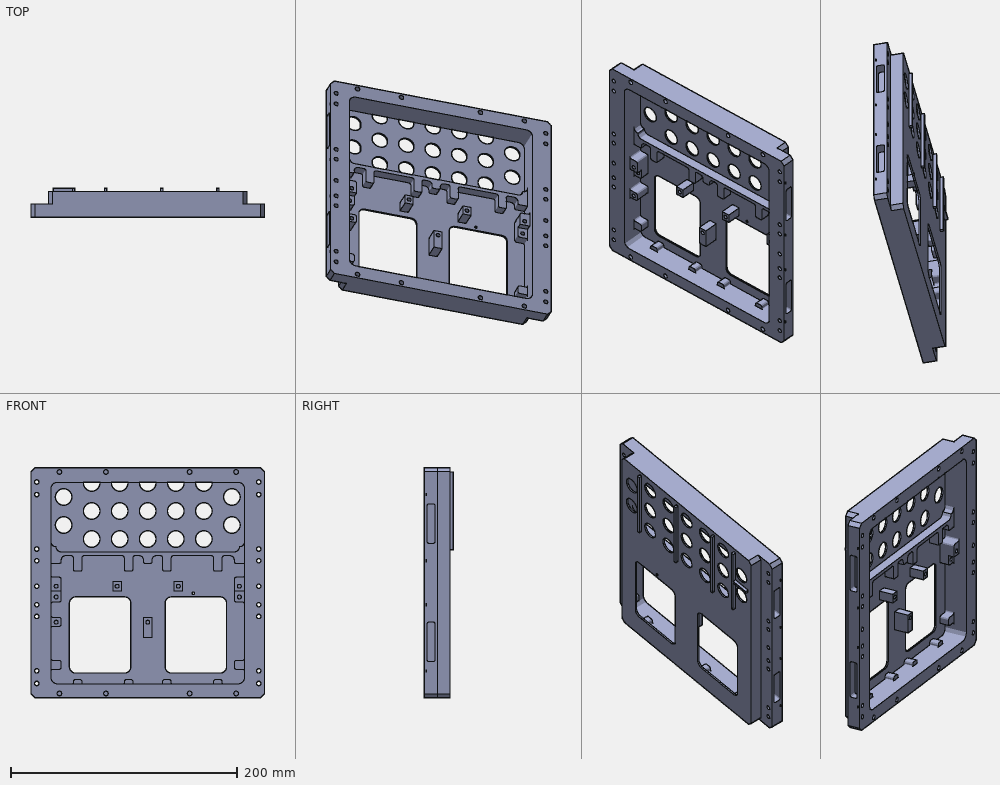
import cadquery as cq

WIDTH = 206.4
HEIGHT = 203.3
FLANGE_DEPTH = 12.0
BODY_DEPTH = 23.1
TOTAL_DEPTH = 26.0
BODY_WIDTH = 175.6
CORNER_CHAMFER = 3.5

PANEL_THICKNESS = 1.55
POCKET_FLOOR = BODY_DEPTH - PANEL_THICKNESS
POCKET_WIDTH = 171.0
POCKET_TOP = 88.7
POCKET_BOTTOM = -89.3
POCKET_RADIUS = 6.0
WALL_X = POCKET_WIDTH / 2

LOW_BOSS_FRONT = 12.8
TALL_BOSS_FRONT = 7.2
POST_FRONT = 7.8
BOSS_WIDTH = 7.6
BOSS_REACH = 9.0
TIP_RADIUS = 2.0
WALL_ROOT_RADIUS = 1.7
FLOOR_ROOT_RADIUS = 0.6

OVERLAP = 2.0

VENT_DIAMETER = 14.5
VENT_PITCH = 24.8
VENT_MIDDLE_Z = 63.3

RIB_THICKNESS = 2.3
RIB_TOP = 97.8
RIB_BOTTOM = 29.0
RIB_XS = (-65.5, -37.1, 12.4, 62.0)
CROSS_RIB_LEFT = -83.5

WINDOW_WIDTH = 54.0
WINDOW_TOP = -12.5
WINDOW_BOTTOM = -79.7
WINDOW_XS = (-42.0, 42.5)
WINDOW_RADIUS = 5.4

SHELF_TOP = 27.2
SHELF_BOTTOM = 24.0
LONG_TAB_END = 10.3
SHORT_TAB_END = 17.1
TAB_XS = (-62.0, -17.0, 17.0, 62.0)
SHORT_TAB_ROOT_RADIUS = 4.0
LONG_TAB_ROOT_RADIUS = 2.0
TAB_TIP_RADIUS = 1.5
STEP_RADIUS = 4.5

FLANGE_HOLE = 3.7
FLANGE_HOLE_X = 98.0
FLANGE_HOLE_ZS = (89.0, 77.8, 29.7, 19.5, -3.0, -19.5, -29.7, -77.8, -89.0)
EDGE_HOLE = 4.1
EDGE_HOLE_DEPTH = 8.3
EDGE_HOLE_XS = (-78.0, -37.0, 37.0, 78.0)
EDGE_HOLE_Z = 97.8
BOSS_HOLE = 3.5
BOSS_HOLE_DEPTH = 6.2
BOSS_HOLE_X = 80.9

STEPPED_BOSS = (-17.1, 5.0)
STEPPED_BOSS_SPLIT = -7.2
SINGLE_BOSS = (-38.5, -30.5)
LOWEST_BOSS = (-76.5, -68.5)
FLOOR_BOSS_REACH = 4.0
UPPER_HOLE_Z = -3.0
LOWER_HOLE_Z = -12.5
SINGLE_HOLE_Z = -34.9

POST_X = 27.0
POST_Z = (-7.5, 1.0)
CENTRE_POST_Z = (-48.3, -30.7)
PIN_HOLE = 2.0
PIN_HOLE_AT = (40.2, -9.3)

SLOT_LENGTH = 34.9
SLOT_WIDTH = 7.0
SLOT_DEPTH = 8.3
SLOT_Y = 6.2
SLOT_Z = 52.2
SLOT_RADIUS = 1.7
NICK_ZS = (77.8, 19.5, -19.5, -77.8)
NICK_Y = 2.0
NICK_WIDTH = 0.5
NICK_LENGTH = 1.9
NICK_DEPTH = 1.0


def block(x_range, y_range, z_range):
    """Box spanning the given (low, high) ranges."""
    lows, highs = zip(x_range, y_range, z_range)
    size = [high - low for low, high in zip(lows, highs)]
    return cq.Workplane("XY").box(*size, centered=False).translate(lows)


def centred(middle, size):
    """(low, high) range of a given size about a middle."""
    return (middle - size / 2, middle + size / 2)


def drill(diameter, y_start, depth, points):
    """Cylinders along +Y at the given (x, z) points."""
    plane = cq.Workplane("XZ", origin=(0, y_start, 0))
    return plane.pushPoints(points).circle(diameter / 2).extrude(-depth)


def mirrored(shape):
    """The shape together with its mirror image across X = 0."""
    return shape.union(shape.mirror("YZ"))


def frame():
    flange = block(centred(0, WIDTH), (0, FLANGE_DEPTH), centred(0, HEIGHT))
    body = block(centred(0, BODY_WIDTH), (0, BODY_DEPTH), centred(0, HEIGHT))
    flange = flange.edges("|Y").chamfer(CORNER_CHAMFER)
    body = body.edges("|Y").chamfer(CORNER_CHAMFER)
    pocket = block(centred(0, POCKET_WIDTH), (0, POCKET_FLOOR), (POCKET_BOTTOM, POCKET_TOP))
    return flange.union(body).cut(pocket.edges("|Y").fillet(POCKET_RADIUS))


def panel_openings():
    points = [(column * VENT_PITCH, VENT_MIDDLE_Z + row * VENT_PITCH)
              for column in range(-2, 3) for row in (-1, 0, 1)]
    points += [(side * 3 * VENT_PITCH, VENT_MIDDLE_Z + row * VENT_PITCH)
               for side in (-1, 1) for row in (-0.5, 0.5)]
    openings = drill(VENT_DIAMETER, POCKET_FLOOR, PANEL_THICKNESS, points)
    for x in WINDOW_XS:
        window = block(
            centred(x, WINDOW_WIDTH), (POCKET_FLOOR, BODY_DEPTH), (WINDOW_BOTTOM, WINDOW_TOP))
        openings = openings.union(window.edges("|Y").fillet(WINDOW_RADIUS))
    return openings


def back_ribs():
    depth = (BODY_DEPTH, TOTAL_DEPTH)
    ribs = block((CROSS_RIB_LEFT, RIB_XS[0]), depth, centred(VENT_MIDDLE_Z, RIB_THICKNESS))
    for x in RIB_XS:
        ribs = ribs.union(block(centred(x, RIB_THICKNESS), depth, (RIB_BOTTOM, RIB_TOP)))
    return ribs


def round_edges(shape, xs, z, radius):
    """Fillet the edges along Y that pass through the given X places at one Z."""
    margin = 0.2
    for x in xs:
        near = cq.selectors.BoxSelector(
            (x - margin, 0, z - margin), (x + margin, BODY_DEPTH, z + margin))
        shape = shape.edges("|Y").edges(near).fillet(radius)
    return shape


def shelf():
    depth = (LOW_BOSS_FRONT, POCKET_FLOOR)
    end_x = WALL_X + OVERLAP
    bar = block((-end_x, end_x), depth, (SHELF_BOTTOM, SHELF_TOP))
    tabs = block(centred(0, BOSS_WIDTH), depth, (SHORT_TAB_END, SHELF_TOP))
    tabs = tabs.union(mirrored(block((WALL_X - BOSS_REACH, end_x), depth, (SHORT_TAB_END, SHELF_TOP))))
    for x in TAB_XS:
        tabs = tabs.union(block(centred(x, BOSS_WIDTH), depth, (LONG_TAB_END, SHELF_TOP)))
    bar = bar.union(tabs)
    for x in TAB_XS:
        bar = round_edges(bar, centred(x, BOSS_WIDTH), SHELF_BOTTOM, LONG_TAB_ROOT_RADIUS)
        bar = round_edges(bar, centred(x, BOSS_WIDTH), LONG_TAB_END, TAB_TIP_RADIUS)
    short_tab_sides = (BOSS_REACH - WALL_X, -BOSS_WIDTH / 2, BOSS_WIDTH / 2, WALL_X - BOSS_REACH)
    bar = round_edges(bar, short_tab_sides, SHELF_BOTTOM, SHORT_TAB_ROOT_RADIUS)
    bar = round_edges(bar, short_tab_sides, SHORT_TAB_END, TAB_TIP_RADIUS)
    return bar.union(mirrored(shelf_step()))


def shelf_step():
    """Two concave quarter-round steps climbing from the shelf to the side wall."""
    rise = STEP_RADIUS
    sag = rise * (1 - 0.5 ** 0.5)
    x, z = WALL_X, SHELF_TOP
    profile = (
        cq.Workplane("XZ", origin=(0, POCKET_FLOOR, 0))
        .moveTo(x - 2 * rise, z)
        .threePointArc((x - rise - sag, z + sag), (x - rise, z + rise))
        .threePointArc((x - sag, z + rise + sag), (x, z + 2 * rise))
        .lineTo(x + OVERLAP, z + 2 * rise)
        .lineTo(x + OVERLAP, z - OVERLAP)
        .lineTo(x - 2 * rise, z - OVERLAP)
        .close()
    )
    return profile.extrude(POCKET_FLOOR - LOW_BOSS_FRONT)


def pad(length, reach, front, root):
    """Boss rising along +Z from a wall at Z = 0, rounded at its tip and flared at its root."""
    half = length / 2
    tip = TIP_RADIUS
    profile = (
        cq.Workplane("XZ", origin=(0, POCKET_FLOOR, 0))
        .moveTo(-half - root, 0)
        .radiusArc((-half, root), -root)
        .lineTo(-half, reach - tip)
        .radiusArc((-half + tip, reach), tip)
        .lineTo(half - tip, reach)
        .radiusArc((half, reach - tip), tip)
        .lineTo(half, root)
        .radiusArc((half + root, 0), -root)
        .lineTo(half + root, -OVERLAP)
        .lineTo(-half - root, -OVERLAP)
        .close()
    )
    return profile.extrude(POCKET_FLOOR - front)


def left_wall_pad(z_range, front):
    """Pad growing from the left side wall over the given Z range."""
    low, high = z_range
    boss = pad(high - low, BOSS_REACH, front, WALL_ROOT_RADIUS)
    boss = boss.rotate((0, 0, 0), (0, 1, 0), 90)
    return boss.translate((-WALL_X, 0, (low + high) / 2))


def wall_bosses():
    low_part = left_wall_pad(STEPPED_BOSS, LOW_BOSS_FRONT)
    tall_part = left_wall_pad(STEPPED_BOSS, TALL_BOSS_FRONT).intersect(
        block((-WIDTH, 0), (0, BODY_DEPTH), (STEPPED_BOSS_SPLIT, HEIGHT)))
    bosses = mirrored(low_part.union(tall_part).union(left_wall_pad(LOWEST_BOSS, LOW_BOSS_FRONT)))
    bosses = bosses.union(left_wall_pad(SINGLE_BOSS, TALL_BOSS_FRONT))
    for x in TAB_XS:
        floor_pad = pad(BOSS_WIDTH, FLOOR_BOSS_REACH, LOW_BOSS_FRONT, FLOOR_ROOT_RADIUS)
        bosses = bosses.union(floor_pad.translate((x, 0, POCKET_BOTTOM)))
    return bosses


def posts():
    depth = (POST_FRONT, POCKET_FLOOR)
    side_posts = mirrored(block(centred(POST_X, BOSS_WIDTH), depth, POST_Z))
    return side_posts.union(block(centred(0, BOSS_WIDTH), depth, CENTRE_POST_Z))


def screw_holes():
    flange_points = [(x, z) for x in (-FLANGE_HOLE_X, FLANGE_HOLE_X) for z in FLANGE_HOLE_ZS]
    edge_points = [(x, z) for x in EDGE_HOLE_XS for z in (-EDGE_HOLE_Z, EDGE_HOLE_Z)]
    tall_points = [(x, UPPER_HOLE_Z) for x in (-BOSS_HOLE_X, BOSS_HOLE_X)]
    tall_points.append((-BOSS_HOLE_X, SINGLE_HOLE_Z))
    post_points = [(-POST_X, UPPER_HOLE_Z), (POST_X, UPPER_HOLE_Z), (0, SINGLE_HOLE_Z)]
    low_points = [(x, LOWER_HOLE_Z) for x in (-BOSS_HOLE_X, BOSS_HOLE_X)]
    holes = drill(FLANGE_HOLE, 0, FLANGE_DEPTH, flange_points)
    holes = holes.union(drill(EDGE_HOLE, 0, EDGE_HOLE_DEPTH, edge_points))
    holes = holes.union(drill(BOSS_HOLE, TALL_BOSS_FRONT, BOSS_HOLE_DEPTH, tall_points))
    holes = holes.union(drill(BOSS_HOLE, POST_FRONT, BOSS_HOLE_DEPTH, post_points))
    holes = holes.union(drill(BOSS_HOLE, LOW_BOSS_FRONT, BOSS_HOLE_DEPTH, low_points))
    return holes.union(drill(PIN_HOLE, POCKET_FLOOR, PANEL_THICKNESS, [PIN_HOLE_AT]))


def side_recesses():
    left = -WIDTH / 2
    slots = cq.Workplane("XY")
    for z in (-SLOT_Z, SLOT_Z):
        slot = block((left, left + SLOT_DEPTH), centred(SLOT_Y, SLOT_WIDTH), centred(z, SLOT_LENGTH))
        slots = slots.union(slot.edges("|X").fillet(SLOT_RADIUS))
    for z in NICK_ZS:
        slots = slots.union(
            block((left, left + NICK_DEPTH), centred(NICK_Y, NICK_WIDTH), centred(z, NICK_LENGTH)))
    return mirrored(slots)


result = (
    frame()
    .cut(panel_openings())
    .union(back_ribs())
    .union(shelf())
    .union(wall_bosses())
    .union(posts())
    .cut(screw_holes())
    .cut(side_recesses())
)